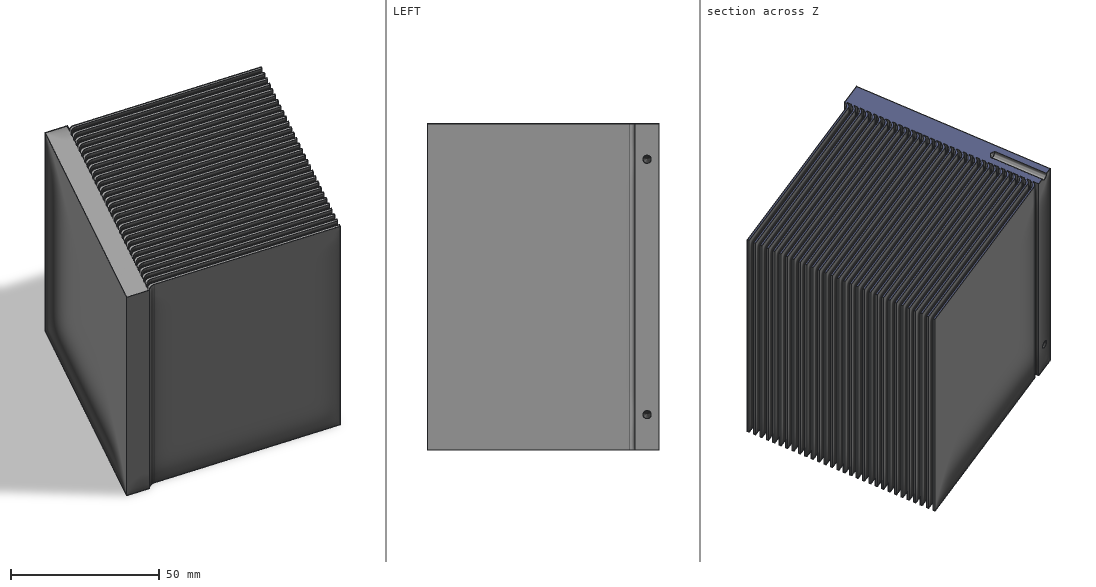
import cadquery as cq
import math

base_width = 75.0
height = 110.0
total_depth = 78.0

base_thickness = 8.0

fin_count = 30
fin_thickness = 0.8
first_fin_offset = 0.68
outer_bend_radius = 1.9
inner_bend_radius = outer_bend_radius + fin_thickness

hole_diameter = 2.8
hole_depth = 20.0
hole_end_distance = 12.0
drill_point_angle = 118

fin_pitch = (base_width - first_fin_offset) / fin_count


def make_base():
    return cq.Workplane("XY").box(base_width, base_thickness, height, centered=False)


def bend_point(start_x, radius, angle):
    """Point on a bend that leaves the vertical face x = start_x at angle 0 and meets the base at 90."""
    turn = math.radians(angle)
    return (
        start_x + radius * (1 - math.cos(turn)),
        base_thickness + radius * (1 - math.sin(turn)),
    )


def make_fin(left):
    """One fin with its flat side at x = left and its foot toward +X."""
    right = left + fin_thickness
    foot_end = left + fin_pitch
    inner_sweep = math.degrees(math.acos(1 - (foot_end - right) / inner_bend_radius))
    return (
        cq.Workplane("XY")
        .moveTo(left, total_depth)
        .lineTo(*bend_point(left, outer_bend_radius, 0))
        .threePointArc(
            bend_point(left, outer_bend_radius, 45),
            bend_point(left, outer_bend_radius, 90),
        )
        .lineTo(foot_end, base_thickness)
        .lineTo(*bend_point(right, inner_bend_radius, inner_sweep))
        .threePointArc(
            bend_point(right, inner_bend_radius, inner_sweep / 2),
            bend_point(right, inner_bend_radius, 0),
        )
        .lineTo(right, total_depth)
        .close()
        .extrude(height)
    )


def make_hole(z):
    radius = hole_diameter / 2
    tip_length = radius / math.tan(math.radians(drill_point_angle / 2))
    return (
        cq.Workplane("XY")
        .polyline([(0, 0), (0, radius), (hole_depth, radius), (hole_depth + tip_length, 0)])
        .close()
        .revolve(360, (0, 0, 0), (1, 0, 0))
        .translate((0, base_thickness / 2, z))
    )


result = make_base()
for index in range(fin_count):
    result = result.union(make_fin(first_fin_offset + index * fin_pitch))
for z in (hole_end_distance, height - hole_end_distance):
    result = result.cut(make_hole(z))